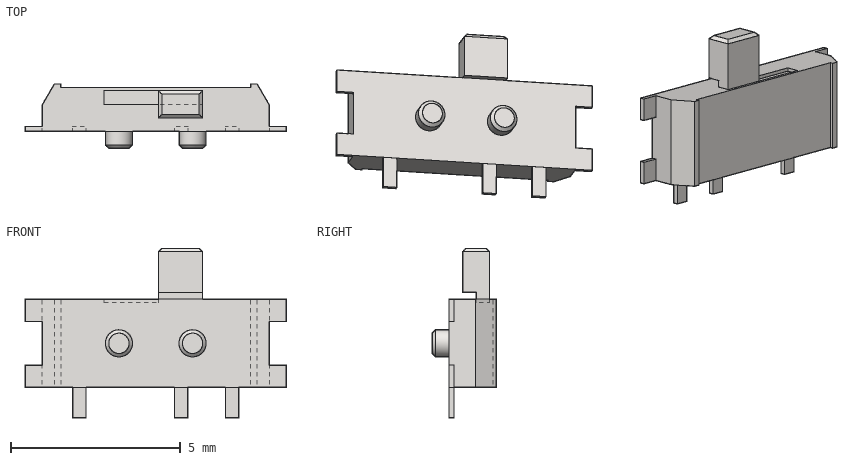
import cadquery as cq


housing_height = 2.6
housing_depth = 1.4
housing_half_width = 3.35
side_depth = 0.78
back_half_width = 2.99
back_recess_half_width = 2.8
back_recess_depth = 0.1

tab_half_width = 3.85
tab_thickness = 0.15
tab_gap_height = 1.28

peg_diameter = 0.8
peg_length = 0.5
peg_chamfer = 0.1
peg_xs = (-1.085, 1.085)
peg_z = housing_height / 2

slot_left = -1.525
slot_front = 0.8
slot_back = 1.2
slot_depth = 0.1
actuator_left = 0.08
actuator_width = 1.3
actuator_right = actuator_left + actuator_width
actuator_front = 0.4
actuator_rise = 1.5
neck_rise = 0.2
actuator_chamfer = 0.1

pin_width = 0.4
pin_thickness = tab_thickness
pin_length = 0.9
pin_xs = (-2.25, 0.75, 2.25)


def box(x_range, y_range, z_range):
    """Box spanning the given (low, high) range on each axis."""
    ranges = (x_range, y_range, z_range)
    sizes = [high - low for low, high in ranges]
    corner = tuple(low for low, high in ranges)
    return cq.Workplane("XY").box(*sizes, centered=False).translate(corner)


def make_shell():
    """Housing block with sloped back corners, a recessed back face and notched end tabs."""
    recess_y = housing_depth - back_recess_depth
    half_outline = [
        (tab_half_width, 0),
        (tab_half_width, tab_thickness),
        (housing_half_width, tab_thickness),
        (housing_half_width, side_depth),
        (back_half_width, housing_depth),
        (back_recess_half_width, housing_depth),
        (back_recess_half_width, recess_y),
    ]
    mirrored_outline = [(-x, y) for x, y in reversed(half_outline)]
    shell = cq.Workplane("XY").polyline(half_outline + mirrored_outline).close().extrude(housing_height)

    gap_bottom = (housing_height - tab_gap_height) / 2
    gap_z = (gap_bottom, gap_bottom + tab_gap_height)
    for x_range in ((-tab_half_width, -housing_half_width), (housing_half_width, tab_half_width)):
        shell = shell.cut(box(x_range, (0, tab_thickness), gap_z))
    return shell


def make_peg(x):
    """Round locating peg with a chamfered tip, pointing towards -Y."""
    peg = cq.Workplane("XZ").center(x, peg_z).circle(peg_diameter / 2).extrude(peg_length)
    return peg.faces("<Y").chamfer(peg_chamfer)


def make_actuator():
    """Chamfered knob on a narrower neck that stands on the slot floor."""
    actuator_x = (actuator_left, actuator_right)
    slot_floor = housing_height - slot_depth
    knob_bottom = housing_height + neck_rise
    knob_top = housing_height + actuator_rise
    knob = box(actuator_x, (actuator_front, slot_back), (knob_bottom, knob_top))
    knob = knob.faces(">Z").chamfer(actuator_chamfer)
    neck = box(actuator_x, (slot_front, slot_back), (slot_floor, knob_bottom))
    return knob.union(neck)


def make_housing():
    """Housing with its pegs, the shallow slot in its top face and the actuator."""
    slot_z = (housing_height - slot_depth, housing_height)
    body = make_shell().cut(box((slot_left, actuator_right), (slot_front, slot_back), slot_z))
    for x in peg_xs:
        body = body.union(make_peg(x))
    return body.union(make_actuator())


def make_pin(x):
    """Flat terminal pin hanging from the housing bottom, flush with the mounting face."""
    return box((x - pin_width / 2, x + pin_width / 2), (0, pin_thickness), (-pin_length, 0))


housing = make_housing()
pins = [make_pin(x).val() for x in pin_xs]

result = cq.Compound.makeCompound([housing.val(), *pins])